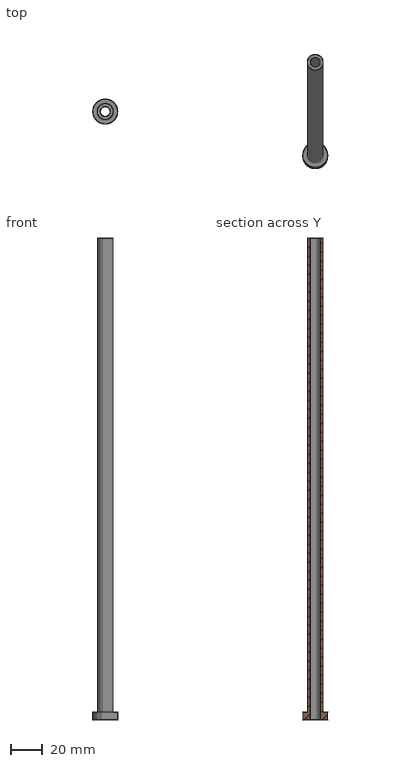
import cadquery as cq

total_length = 305.0
head_diameter = 16.0
head_height = 5.0
tube_diameter = 10.0
bore_diameter = 6.0
neck_fillet_radius = 0.3

head_radius = head_diameter / 2
tube_radius = tube_diameter / 2
bore_radius = bore_diameter / 2

half_section = (
    cq.Workplane("XZ")
    .moveTo(bore_radius, 0)
    .lineTo(head_radius, 0)
    .lineTo(head_radius, head_height)
    .lineTo(tube_radius + neck_fillet_radius, head_height)
    .radiusArc((tube_radius, head_height + neck_fillet_radius), neck_fillet_radius)
    .lineTo(tube_radius, total_length)
    .lineTo(bore_radius, total_length)
    .close()
)

result = half_section.revolve(360, (0, 0, 0), (0, 1, 0))